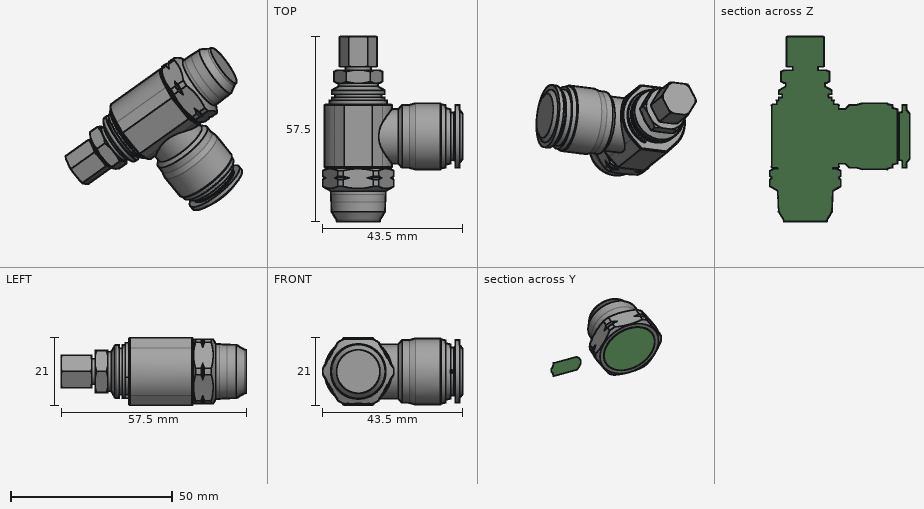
import cadquery as cq
import math


TOTAL_LENGTH = 57.5
TIP_END = 0.75
THREAD_CHAMFER_END = 3.1
THREAD_MIDDLE = 6.15
THREAD_TOP = 8.5
BASE_NUT_BOTTOM = 9.5
BASE_NUT_TOP = 16.5
BODY_BOTTOM = 16.6
BODY_TOP = 36.45
CLIP_TOP = 37.65
LOWER_COLLAR_TOP = 38.5
UPPER_COLLAR_BOTTOM = 39.5
UPPER_COLLAR_BEVEL = 40.4
UPPER_COLLAR_TOP = 40.8
COLLAR_CONE_TOP = 42.0
LOCK_NUT_BOTTOM = 43.0
LOCK_NUT_TOP = 47.0
KNOB_BOTTOM = 48.0

TIP_RADIUS = 6.7
TIP_END_RADIUS = 6.9
THREAD_RADIUS = 8.35
THREAD_MIDDLE_RADIUS = 8.45
THREAD_TOP_RADIUS = 8.55
COLLAR_RADIUS = 8.3
COLLAR_BEVEL_RADIUS = 8.15
COLLAR_GROOVE_RADIUS = 7.25
NECK_RADIUS = 6.15
SPINDLE_RADIUS = 3.95

CLIP_RADIUS = 8.95
CLIP_GAP_START = 191.0
CLIP_GAP_END = 291.0

BASE_NUT_APOTHEM = 10.0
BASE_NUT_CORNER_RADIUS = 11.05
BASE_NUT_TOP_RADIUS = 9.85
BASE_NUT_BOTTOM_RADIUS = 8.55
NUT_GROOVE_RADIUS = 10.4
NUT_GROOVE_HALF_WIDTH = 0.5
NUT_GROOVE_Y = 13.55
LOCK_NUT_APOTHEM = 6.55
LOCK_NUT_END_RADIUS = 6.7
KNOB_APOTHEM = 5.05
KNOB_END_RADIUS = 5.4
NUT_CHAMFER_ANGLE = 30.0

BODY_RADIUS = 10.5
BODY_CHAMFER = 0.35

BRANCH_Y = 26.45
BRANCH_PIPE_RADIUS = 8.5
SOCKET_START = 12.4
SOCKET_CONE_END = 13.6
SOCKET_REAR_END = 15.75
SOCKET_GRIP_START = 17.65
SOCKET_GRIP_END = 25.5
SHOULDER_START = 25.75
SOCKET_STEP = 27.15
SOCKET_END = 28.65
RELEASE_SLEEVE_FLARE = 29.65
RELEASE_FLANGE_START = 30.1
RELEASE_FLANGE_END = 31.45
BRANCH_END = 32.5
SOCKET_REAR_RADIUS = 9.8
SOCKET_GRIP_RADIUS = 10.3
SHOULDER_RADIUS = 10.0
SHOULDER_STEP_RADIUS = 9.7
LIP_RADIUS = 8.85
LIP_END_RADIUS = 8.45
RELEASE_SLEEVE_RADIUS = 7.5
RELEASE_FLARE_RADIUS = 7.65
RELEASE_FLANGE_RADIUS = 9.8
RELEASE_NOSE_RADIUS = 8.3
BRANCH_END_RADIUS = 6.95

SLOT_WIDTH = 0.45
SLOT_HEIGHT = 0.9


def turned_along_y(outline):
    """Revolve (radius, y) points about the Y axis, closed along the axis."""
    points = [(0, outline[0][1])] + outline + [(0, outline[-1][1])]
    return cq.Workplane("XY").polyline(points).close().revolve(360, (0, 0), (0, 1))


def hex_nut(bottom, top, apothem, corner_radius, bottom_radius, top_radius):
    """Hexagon with flats facing +-Z, its corners turned down by a cone at each end."""
    height = top - bottom
    slope = math.tan(math.radians(NUT_CHAMFER_ANGLE))
    lower_drop = (corner_radius - bottom_radius) * slope
    upper_drop = (corner_radius - top_radius) * slope
    corner_diameter = 2 * apothem / math.cos(math.pi / 6)
    hexagon = (
        cq.Workplane("XZ", origin=(0, bottom, 0))
        .polygon(6, corner_diameter)
        .extrude(-height)
    )
    envelope = turned_along_y([
        (bottom_radius, bottom),
        (corner_radius, bottom + lower_drop),
        (corner_radius, top - upper_drop),
        (top_radius, top),
    ])
    return hexagon.intersect(envelope)


def stem():
    """Turned core running the full length of the main axis."""
    return turned_along_y([
        (TIP_RADIUS, 0),
        (TIP_END_RADIUS, TIP_END),
        (THREAD_RADIUS, THREAD_CHAMFER_END),
        (THREAD_MIDDLE_RADIUS, THREAD_MIDDLE),
        (THREAD_TOP_RADIUS, THREAD_TOP),
        (BASE_NUT_BOTTOM_RADIUS, BASE_NUT_BOTTOM),
        (BASE_NUT_BOTTOM_RADIUS, BODY_BOTTOM),
        (COLLAR_GROOVE_RADIUS, BODY_BOTTOM),
        (COLLAR_GROOVE_RADIUS, CLIP_TOP),
        (COLLAR_RADIUS, CLIP_TOP),
        (COLLAR_RADIUS, LOWER_COLLAR_TOP),
        (COLLAR_GROOVE_RADIUS, LOWER_COLLAR_TOP),
        (COLLAR_GROOVE_RADIUS, UPPER_COLLAR_BOTTOM),
        (COLLAR_RADIUS, UPPER_COLLAR_BOTTOM),
        (COLLAR_RADIUS, UPPER_COLLAR_BEVEL),
        (COLLAR_BEVEL_RADIUS, UPPER_COLLAR_TOP),
        (NECK_RADIUS, COLLAR_CONE_TOP),
        (NECK_RADIUS, LOCK_NUT_BOTTOM),
        (SPINDLE_RADIUS, LOCK_NUT_BOTTOM),
        (SPINDLE_RADIUS, KNOB_BOTTOM),
    ])


def base_nut():
    """Large hexagon above the thread with a V-groove that nicks its corners."""
    nut = hex_nut(
        BASE_NUT_BOTTOM, BASE_NUT_TOP, BASE_NUT_APOTHEM, BASE_NUT_CORNER_RADIUS,
        BASE_NUT_BOTTOM_RADIUS, BASE_NUT_TOP_RADIUS,
    )
    groove = (
        cq.Workplane("XY")
        .polyline([
            (NUT_GROOVE_RADIUS, NUT_GROOVE_Y),
            (BASE_NUT_CORNER_RADIUS, NUT_GROOVE_Y + NUT_GROOVE_HALF_WIDTH),
            (BASE_NUT_CORNER_RADIUS, NUT_GROOVE_Y - NUT_GROOVE_HALF_WIDTH),
        ])
        .close()
        .revolve(360, (0, 0), (0, 1))
    )
    return nut.cut(groove)


def sharp_hex_nut(bottom, top, apothem, end_radius):
    """Hexagon with full corners and equal chamfers at both ends."""
    corner_radius = apothem / math.cos(math.pi / 6)
    return hex_nut(bottom, top, apothem, corner_radius, end_radius, end_radius)


def clip():
    """C-shaped snap ring between the body and the collars."""
    gap_middle = math.radians((CLIP_GAP_START + CLIP_GAP_END) / 2)
    gap_half_angle = math.radians((CLIP_GAP_END - CLIP_GAP_START) / 2)
    reach = 2 * CLIP_RADIUS
    gap_corners = [
        (reach * math.cos(gap_middle + side), reach * math.sin(gap_middle + side))
        for side in (-gap_half_angle, gap_half_angle)
    ]
    plane = cq.Workplane("XZ", origin=(0, BODY_TOP, 0))
    thickness = CLIP_TOP - BODY_TOP
    ring = plane.circle(CLIP_RADIUS).extrude(-thickness)
    gap = plane.polyline([(0, 0)] + gap_corners).close().extrude(-thickness)
    return ring.cut(gap)


def body():
    """Sleeve: round on the +-X sides, octagonal flats on the +-Z sides."""
    flat_half = BODY_RADIUS * math.tan(math.pi / 8)
    tangent = BODY_RADIUS * math.cos(math.pi / 4)
    return (
        cq.Workplane("XZ", origin=(0, BODY_BOTTOM, 0))
        .moveTo(-flat_half, BODY_RADIUS)
        .lineTo(flat_half, BODY_RADIUS)
        .lineTo(tangent, tangent)
        .threePointArc((BODY_RADIUS, 0), (tangent, -tangent))
        .lineTo(flat_half, -BODY_RADIUS)
        .lineTo(-flat_half, -BODY_RADIUS)
        .lineTo(-tangent, -tangent)
        .threePointArc((-BODY_RADIUS, 0), (-tangent, tangent))
        .close()
        .extrude(BODY_BOTTOM - BODY_TOP)
        .faces("<Y or >Y")
        .edges()
        .chamfer(BODY_CHAMFER)
    )


def branch():
    """Side pipe, push-in socket and release sleeve, turned about the branch axis."""
    outline = [
        (0, 0),
        (0, BRANCH_PIPE_RADIUS),
        (SOCKET_START, BRANCH_PIPE_RADIUS),
        (SOCKET_CONE_END, SOCKET_REAR_RADIUS),
        (SOCKET_REAR_END, SOCKET_REAR_RADIUS),
        (SOCKET_GRIP_START, SOCKET_GRIP_RADIUS),
        (SOCKET_GRIP_END, SOCKET_GRIP_RADIUS),
        (SHOULDER_START, SHOULDER_RADIUS),
        (SOCKET_STEP, SHOULDER_STEP_RADIUS),
        (SOCKET_STEP, LIP_RADIUS),
        (SOCKET_END, LIP_END_RADIUS),
        (SOCKET_END, RELEASE_SLEEVE_RADIUS),
        (RELEASE_SLEEVE_FLARE, RELEASE_SLEEVE_RADIUS),
        (RELEASE_FLANGE_START, RELEASE_FLARE_RADIUS),
        (RELEASE_FLANGE_START, RELEASE_FLANGE_RADIUS),
        (RELEASE_FLANGE_END, RELEASE_FLANGE_RADIUS),
        (RELEASE_FLANGE_END, RELEASE_NOSE_RADIUS),
        (BRANCH_END, BRANCH_END_RADIUS),
        (BRANCH_END, 0),
    ]
    turned = (
        cq.Workplane("XY", origin=(0, BRANCH_Y, 0))
        .polyline(outline)
        .close()
        .revolve(360, (0, 0), (1, 0))
    )
    slot = cq.Workplane("XY").box(SLOT_WIDTH, 2 * SOCKET_GRIP_RADIUS, SLOT_HEIGHT)
    return turned.cut(slot.translate((SOCKET_END + SLOT_WIDTH / 2, BRANCH_Y, 0)))


result = (
    stem()
    .union(base_nut())
    .union(clip())
    .union(body())
    .union(branch())
    .union(sharp_hex_nut(LOCK_NUT_BOTTOM, LOCK_NUT_TOP, LOCK_NUT_APOTHEM, LOCK_NUT_END_RADIUS))
    .union(sharp_hex_nut(KNOB_BOTTOM, TOTAL_LENGTH, KNOB_APOTHEM, KNOB_END_RADIUS))
)